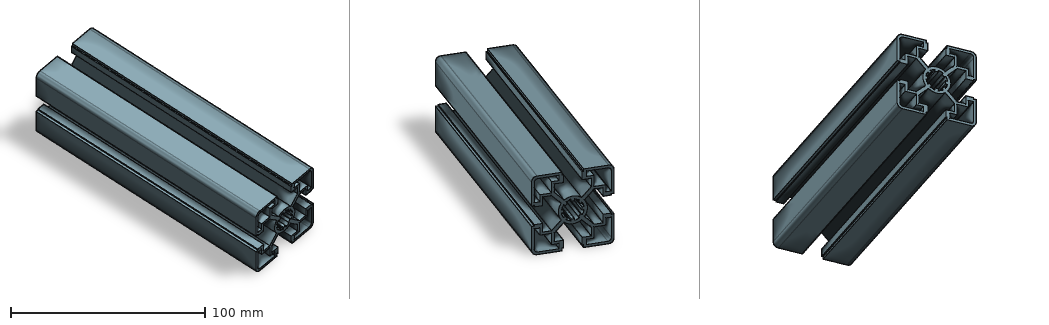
import cadquery as cq

length = 150.0
side = 45.0
half_side = side / 2
face_count = 4
full_turn = 360
quarter_turn = full_turn / face_count

outer_wall = 1.5
inner_wall = 1.5
corner_radius = 3.0
chamber_radius = 2.0

slot_half_width = 5.1
mouth_half_width = 5.8
mouth_depth = 1.5
lip_depth = 6.0
lip_wall = 2.4
slot_inner_half_width = 10.0

tube_radius = 8.0
bore_radius = 6.2
web_thickness = 2.2

tooth_count = 8
tooth_tip_radius = 5.1
tooth_tip_half_width = 0.9
tooth_base_half_width = 1.0

wall_inside = half_side - outer_wall
mouth_floor = half_side - mouth_depth
lip_inside = half_side - lip_depth
chamber_shelf = lip_inside + inner_wall
chamber_end = slot_half_width + lip_wall
chamber_inner = slot_inner_half_width + inner_wall
tube_wall_middle = (tube_radius + bore_radius) / 2
web_outer_end = chamber_inner * 2 ** 0.5


def prism(outline):
    """Extrude a closed YZ outline over the full length."""
    return cq.Workplane("YZ").polyline(outline).close().extrude(length)


def rounded_corner_prism(half_outline, inner_corner, outer_corner, radius):
    """Prism symmetric about y = z, with its outermost edge rounded."""
    mirrored_half = [(z, y) for y, z in reversed(half_outline)]
    outline = [(outer_corner, outer_corner), *half_outline, (inner_corner, inner_corner), *mirrored_half]
    outermost_edge = cq.selectors.NearestToPointSelector((length / 2, outer_corner, outer_corner))
    return prism(outline).edges(outermost_edge).fillet(radius)


def corner_chamber():
    """Hollow corner, ending in a slot lip on each of its two faces."""
    body_half_outline = [
        (mouth_half_width, half_side),
        (mouth_half_width, mouth_floor),
        (slot_half_width, mouth_floor),
        (slot_half_width, lip_inside),
        (slot_inner_half_width, lip_inside),
    ]
    cavity_half_outline = [
        (chamber_end, wall_inside),
        (chamber_end, chamber_shelf),
        (chamber_inner, chamber_shelf),
    ]
    body = rounded_corner_prism(body_half_outline, slot_inner_half_width, half_side, corner_radius)
    cavity = rounded_corner_prism(cavity_half_outline, chamber_inner, wall_inside, chamber_radius)
    return body.cut(cavity)


def diagonal_web():
    """Straight web from the tube wall out to the inner corner of a chamber."""
    web = prism([
        (tube_wall_middle, -web_thickness / 2),
        (web_outer_end, -web_thickness / 2),
        (web_outer_end, web_thickness / 2),
        (tube_wall_middle, web_thickness / 2),
    ])
    return turned(web, quarter_turn / 2)


def bore_tooth():
    """Tapered tooth on the bore wall, pointing at the centre."""
    tooth_side_end = (tooth_tip_radius ** 2 - tooth_tip_half_width ** 2) ** 0.5
    return (
        cq.Workplane("YZ")
        .moveTo(tube_wall_middle, -tooth_base_half_width)
        .lineTo(bore_radius, -tooth_base_half_width)
        .lineTo(tooth_side_end, -tooth_tip_half_width)
        .threePointArc((tooth_tip_radius, 0), (tooth_side_end, tooth_tip_half_width))
        .lineTo(bore_radius, tooth_base_half_width)
        .lineTo(tube_wall_middle, tooth_base_half_width)
        .close()
        .extrude(length)
    )


def turned(body, angle):
    """Rotate a body about the long axis."""
    return body.rotate((0, 0, 0), (1, 0, 0), angle)


result = cq.Workplane("YZ").circle(tube_radius).circle(bore_radius).extrude(length)

corner = corner_chamber()
web = diagonal_web()
for quarter in range(face_count):
    angle = quarter * quarter_turn
    result = result.union(turned(web, angle)).union(turned(corner, angle))

tooth = bore_tooth()
for index in range(tooth_count):
    result = result.union(turned(tooth, index * full_turn / tooth_count))

result = result.translate((-length / 2, 0, 0))